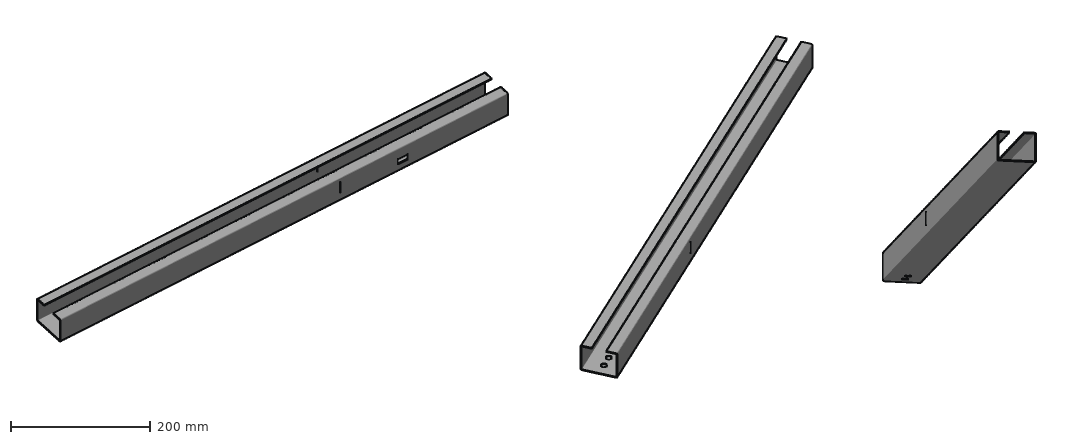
import cadquery as cq

width = 57.0
length = 800.0
height = 44.0
thickness = 2.0
bend_outer_radius = 3.0
bend_inner_radius = bend_outer_radius - thickness
mouth_width = 22.0

floor_hole_diameter = 9.0
floor_hole_count = 2
floor_hole_pitch = 20.0
floor_hole_end_distance = 20.0

wall_opening_length = 18.0
wall_opening_height = 10.0
wall_opening_end_distance = 188.0
wall_opening_center_z = 19.0

slit_width = 1.0
slit_height = 20.0
slit_end_distance = 300.0
slit_center_z = 26.0

end_y = length / 2


def rounded_bar(bar_width, bar_height, bottom_z, corner_radius):
    """Full-length bar along Y with its four long edges rounded."""
    bar = cq.Workplane("XY").workplane(offset=bottom_z)
    bar = bar.box(bar_width, length, bar_height, centered=(True, True, False))
    return bar.edges("|Y").fillet(corner_radius)


def make_channel():
    """Channel along Y, open at the top between two inward lips."""
    outer = rounded_bar(width, height, 0, bend_outer_radius)
    cavity = rounded_bar(width - 2 * thickness, height - 2 * thickness, thickness, bend_inner_radius)
    mouth = (
        cq.Workplane("XY")
        .workplane(offset=height / 2)
        .box(mouth_width, length, height, centered=(True, True, False))
    )
    return outer.cut(cavity).cut(mouth)


def make_floor_holes():
    """Cutters for the row of holes through the floor."""
    first_y = end_y - floor_hole_end_distance
    centers = [(0, first_y - i * floor_hole_pitch) for i in range(floor_hole_count)]
    return cq.Workplane("XY").pushPoints(centers).circle(floor_hole_diameter / 2).extrude(thickness)


def side_cutter(start_x, depth, end_distance, center_z, size_y, size_z):
    """Rectangular cutter running from start_x toward +X, placed by its distance from the +Y end."""
    return (
        cq.Workplane("YZ")
        .workplane(offset=start_x)
        .center(end_y - end_distance, center_z)
        .rect(size_y, size_z)
        .extrude(depth)
    )


wall_opening = side_cutter(
    width / 2 - thickness,
    thickness,
    wall_opening_end_distance,
    wall_opening_center_z,
    wall_opening_length,
    wall_opening_height,
)
slits = side_cutter(-width / 2, width, slit_end_distance, slit_center_z, slit_width, slit_height)

result = make_channel().cut(make_floor_holes()).cut(wall_opening).cut(slits)